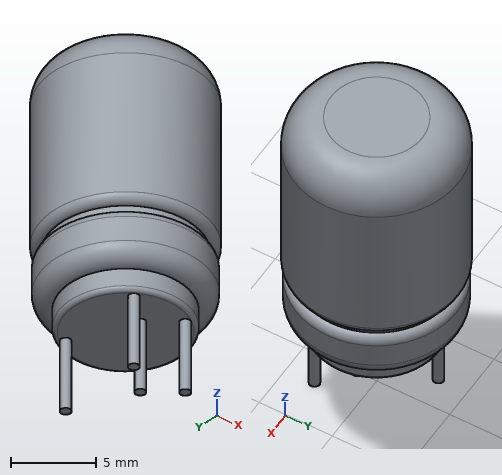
import cadquery as cq
import math

total_height = 23.5
pin_length = 5.0
can_bottom = 6.5
groove_bottom = 10.0
groove_top = 10.5

can_radius = 11.2 / 2
rim_radius = 11.0 / 2
groove_radius = 10.0 / 2
base_radius = 8.6 / 2
pin_radius = 0.7 / 2

dome_round = 2.5
can_lower_round = can_radius - groove_radius
rim_upper_round = 0.59
rim_lower_round = rim_radius - base_radius
base_round = 0.3

pin_x = 2.0
pin_y = 3.03
middle_pin_y = -1.32
pin_places = [(-pin_x, pin_y), (-pin_x, -pin_y), (pin_x, -pin_y), (0, middle_pin_y)]


def make_can():
    """Domed can with a crimp groove and a lower rim rolled in to the base."""
    rim_round_centre_z = groove_bottom - rim_upper_round
    inset = groove_radius - (rim_radius - rim_upper_round)
    rim_round_end_z = rim_round_centre_z + math.sqrt(rim_upper_round**2 - inset**2)
    return (
        cq.Workplane("XZ")
        .moveTo(0, can_bottom)
        .lineTo(base_radius, can_bottom)
        .radiusArc((rim_radius, can_bottom + rim_lower_round), -rim_lower_round)
        .lineTo(rim_radius, rim_round_centre_z)
        .radiusArc((groove_radius, rim_round_end_z), -rim_upper_round)
        .lineTo(groove_radius, groove_top)
        .radiusArc((can_radius, groove_top + can_lower_round), -can_lower_round)
        .lineTo(can_radius, total_height - dome_round)
        .radiusArc((can_radius - dome_round, total_height), -dome_round)
        .lineTo(0, total_height)
        .close()
        .revolve(360, (0, 0, 0), (0, 1, 0))
    )


def make_base():
    """Round base under the can, with a rounded lower edge."""
    return (
        cq.Workplane("XY", origin=(0, 0, pin_length))
        .circle(base_radius)
        .extrude(can_bottom - pin_length)
        .faces("<Z")
        .edges()
        .fillet(base_round)
    )


def make_pin(x, y):
    """Straight pin that ends at the underside of the base."""
    return cq.Workplane("XY", origin=(x, y, 0)).circle(pin_radius).extrude(pin_length)


can = make_can()
base = make_base()
pins = [make_pin(x, y) for x, y in pin_places]

result = cq.Compound.makeCompound([can.val(), base.val(), *[pin.val() for pin in pins]])